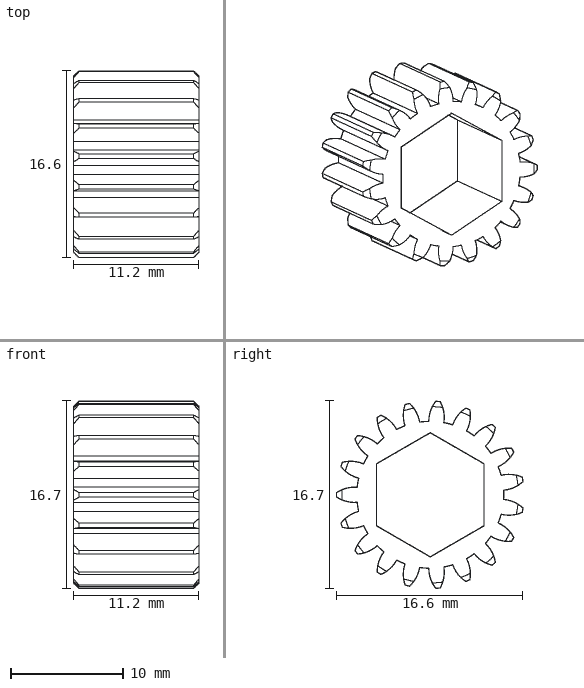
import cadquery as cq
import math

tooth_count = 19
gear_length = 11.18
tip_radius = 8.34
root_radius = 6.54
tip_half_width = 0.2
root_half_width = 0.68
flank_radius = 2.9
end_chamfer = 0.5
hex_across_flats = 9.53
hex_turn = 30
first_tooth_angle = 180

tooth_pitch = 360 / tooth_count
hex_across_corners = hex_across_flats / math.cos(math.radians(30))


def point_on_circle(radius, half_width):
    """Point on a circle about the axis at a given offset from the tooth centreline."""
    return (math.sqrt(radius**2 - half_width**2), half_width)


def bulged_midpoint(start, end, radius):
    """Middle of the arc from start to end that bulges away from the tooth centreline."""
    run = end[0] - start[0]
    rise = end[1] - start[1]
    chord = math.hypot(run, rise)
    bulge = radius - math.sqrt(radius**2 - (chord / 2) ** 2)
    middle_x = (start[0] + end[0]) / 2 - bulge * rise / chord
    middle_y = (start[1] + end[1]) / 2 + bulge * run / chord
    return (middle_x, middle_y)


def mirrored(point):
    """Reflect a point across the tooth centreline."""
    return (point[0], -point[1])


def rotated(point, degrees):
    """Turn a profile point about the gear axis."""
    angle = math.radians(degrees)
    x, y = point
    return (x * math.cos(angle) - y * math.sin(angle), x * math.sin(angle) + y * math.cos(angle))


def gear_outline():
    """Closed toothed outline in the YZ plane, with the first tooth pointing to -Y."""
    root_corner = point_on_circle(root_radius, root_half_width)
    tip_corner = point_on_circle(tip_radius, tip_half_width)
    flank_middle = bulged_midpoint(root_corner, tip_corner, flank_radius)
    tip_middle = (tip_radius, 0)
    gap_middle = rotated((root_radius, 0), tooth_pitch / 2)
    next_root_corner = rotated(mirrored(root_corner), tooth_pitch)

    outline = cq.Workplane("YZ", origin=(-gear_length / 2, 0, 0))
    outline = outline.moveTo(*rotated(mirrored(root_corner), first_tooth_angle))
    for index in range(tooth_count):
        angle = first_tooth_angle + index * tooth_pitch
        arcs = [
            (mirrored(flank_middle), mirrored(tip_corner)),
            (tip_middle, tip_corner),
            (flank_middle, root_corner),
            (gap_middle, next_root_corner),
        ]
        for through, end in arcs:
            outline = outline.threePointArc(rotated(through, angle), rotated(end, angle))
    return outline.close()


def bevelled_envelope():
    """Cylinder over the tooth tips with both end edges bevelled."""
    cylinder = cq.Workplane("YZ").circle(tip_radius).extrude(gear_length / 2, both=True)
    return cylinder.edges("%CIRCLE").chamfer(end_chamfer)


def hex_bore():
    """Hexagonal through bore with two opposite corners on the Z axis."""
    bore = cq.Workplane("YZ").polygon(6, hex_across_corners)
    return bore.extrude(gear_length / 2, both=True).rotate((0, 0, 0), (1, 0, 0), hex_turn)


gear = gear_outline().extrude(gear_length)
result = gear.intersect(bevelled_envelope()).cut(hex_bore())